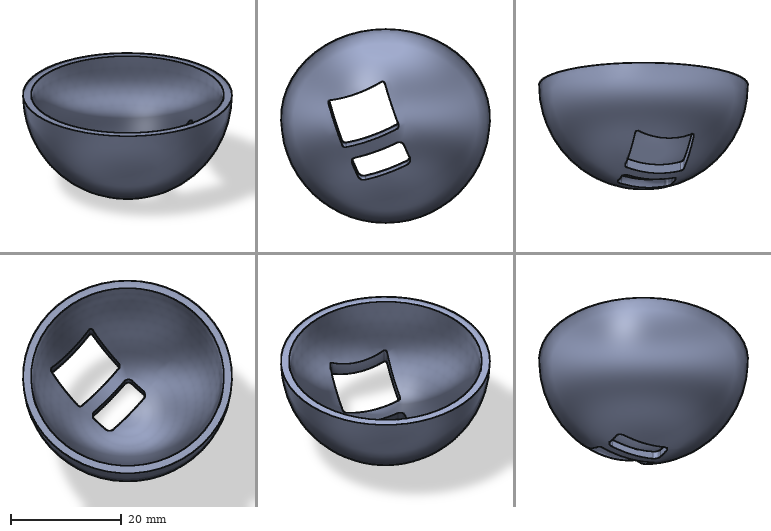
import cadquery as cq

outer_radius = 19.0
wall = 1.5
inner_radius = outer_radius - wall

rear_width = 11.1
rear_front_y = 6.7
rear_back_y = 14.02
rear_corner_radius = 0.5

bottom_width = 10.2
bottom_front_y = -0.23
bottom_back_y = 4.5
bottom_corner_radius = 1.0


def lower_hemisphere(radius):
    """Solid half ball below Z = 0."""
    return cq.Workplane("XY").sphere(radius, angle1=-90, angle2=0)


def window_cutter(width, front_y, back_y, corner_radius):
    """Vertical rounded prism, symmetric about the YZ plane, through the bowl."""
    return (
        cq.Workplane("XY")
        .center(0, (front_y + back_y) / 2)
        .rect(width, back_y - front_y)
        .extrude(-outer_radius)
        .edges("|Z")
        .fillet(corner_radius)
    )


bowl = lower_hemisphere(outer_radius).cut(lower_hemisphere(inner_radius))
rear_window = window_cutter(rear_width, rear_front_y, rear_back_y, rear_corner_radius)
bottom_window = window_cutter(bottom_width, bottom_front_y, bottom_back_y, bottom_corner_radius)

result = bowl.cut(rear_window).cut(bottom_window)